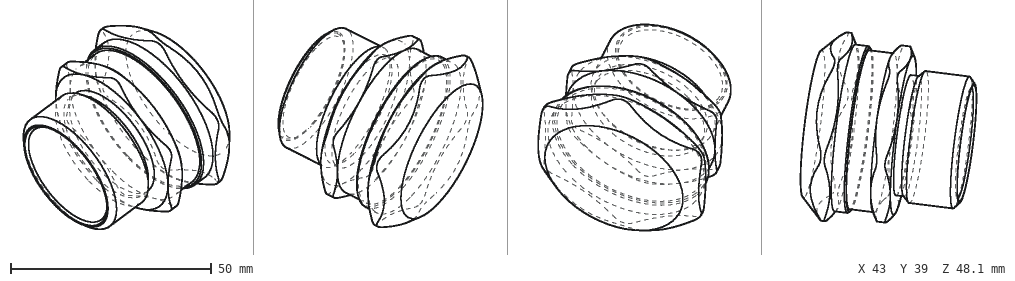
import cadquery as cq
import math

total_length = 39.0
thread_diameter = 33.25
neck_diameter = 30.3
body_diameter = 40.0
collar_diameter = 42.0
nut_flats = 43.0
nut_corner_span = 48.1
body_hex_corner_radius = 3.85

thread_end = 12.5
body_hex_start = 16.0
body_hex_end = 21.0
collar_start = 27.15
nut_start = 30.8

thread_tip_diameter = 30.0
thread_tip_chamfer = 1.4
collar_chamfer = 0.4
recess_rim_diameter = 29.25
recess_floor_diameter = 28.0
recess_depth = (recess_rim_diameter - recess_floor_diameter) / 2
nut_back_diameter = 37.05
hex_bevel_slope = math.tan(math.radians(30))

sharp_corner_ratio = 2 / math.sqrt(3)
nut_corner_radius = (nut_flats * sharp_corner_ratio - nut_corner_span) / 2 / (sharp_corner_ratio - 1)


def revolve_profile(points):
    """Revolve (radius, axial distance) points about the Y axis."""
    return cq.Workplane("XY").polyline(points).close().revolve(360, (0, 0, 0), (0, 1, 0))


def rounded_hexagon(across_flats, corner_radius, start, end):
    """Hexagonal prism along Y with two corners pointing along Z."""
    return (
        cq.Workplane("XZ", origin=(0, start, 0))
        .polygon(6, across_flats * sharp_corner_ratio)
        .extrude(start - end)
        .rotate((0, 0, 0), (0, 1, 0), 30)
        .edges("|Y")
        .fillet(corner_radius)
    )


def make_turned_core():
    """Threaded end, neck, cylindrical body and collar in one turned profile."""
    thread_radius = thread_diameter / 2
    neck_radius = neck_diameter / 2
    body_radius = body_diameter / 2
    collar_radius = collar_diameter / 2
    neck_start = thread_end + thread_radius - neck_radius
    return revolve_profile([
        (0, recess_depth),
        (recess_floor_diameter / 2, recess_depth),
        (recess_rim_diameter / 2, 0),
        (thread_tip_diameter / 2, 0),
        (thread_radius, thread_tip_chamfer),
        (thread_radius, thread_end),
        (neck_radius, neck_start),
        (neck_radius, body_hex_start),
        (body_radius, body_hex_start),
        (body_radius, collar_start),
        (collar_radius - collar_chamfer, collar_start),
        (collar_radius, collar_start + collar_chamfer),
        (collar_radius, nut_start),
        (0, nut_start),
    ])


def make_body_hexagon():
    """Hexagon with 30 degree bevels on both faces."""
    face_radius = body_diameter / 2
    outer_radius = body_diameter * sharp_corner_ratio / 2
    bevel = (outer_radius - face_radius) * hex_bevel_slope
    envelope = revolve_profile([
        (0, body_hex_start),
        (face_radius, body_hex_start),
        (outer_radius, body_hex_start + bevel),
        (outer_radius, body_hex_end - bevel),
        (face_radius, body_hex_end),
        (0, body_hex_end),
    ])
    hexagon = rounded_hexagon(body_diameter, body_hex_corner_radius, body_hex_start, body_hex_end)
    return hexagon.intersect(envelope)


def make_nut():
    """Cap nut with a 30 degree bevel at the collar and a 45 degree cone at the back."""
    front_radius = collar_diameter / 2
    back_radius = nut_back_diameter / 2
    outer_radius = nut_flats * sharp_corner_ratio / 2
    front_bevel = (outer_radius - front_radius) * hex_bevel_slope
    back_cone = outer_radius - back_radius
    envelope = revolve_profile([
        (0, nut_start),
        (front_radius, nut_start),
        (outer_radius, nut_start + front_bevel),
        (outer_radius, total_length - back_cone),
        (back_radius, total_length),
        (0, total_length),
    ])
    hexagon = rounded_hexagon(nut_flats, nut_corner_radius, nut_start, total_length)
    return hexagon.intersect(envelope)


result = make_turned_core().union(make_body_hexagon()).union(make_nut())